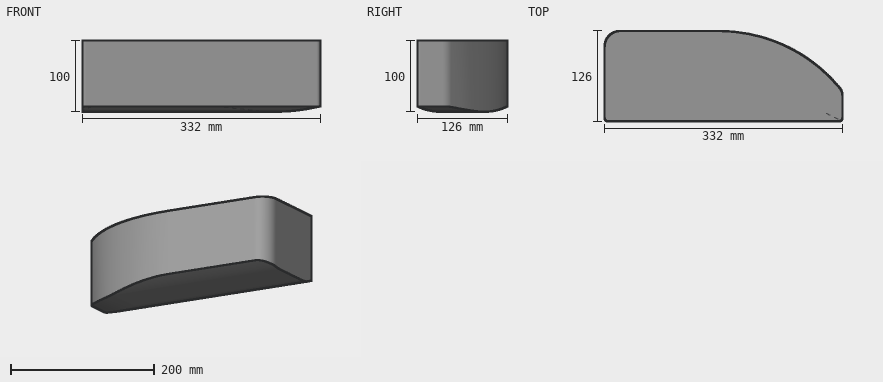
import cadquery as cq

length = 332.0
width = 126.0
height = 100.0

small_corner = 5.0
large_corner = 22.0
nose_corner = 16.5
sweep_start = 159.5
sweep_radius = 219.0

edge_rise = 8.0
side_run = 33.2
end_run = 65.7


def rounding_radius(run):
    """Radius of an arc tangent to the flat bottom that climbs edge_rise over run."""
    return (run**2 + edge_rise**2) / (2 * edge_rise)


def arc_height(run, distance):
    """Height of the rounding at a distance from its tangent line."""
    radius = rounding_radius(run)
    return radius - (radius**2 - distance**2) ** 0.5


def make_body():
    """Prism with straight front and ends and a curved rear side."""
    curve_x = length - sweep_start
    curve_drop = sweep_radius - (sweep_radius**2 - curve_x**2) ** 0.5
    middle_drop = sweep_radius - (sweep_radius**2 - (curve_x / 2) ** 2) ** 0.5
    body = (
        cq.Workplane("XY")
        .moveTo(0, 0)
        .lineTo(length, 0)
        .lineTo(length, width - curve_drop)
        .threePointArc((sweep_start + curve_x / 2, width - middle_drop), (sweep_start, width))
        .lineTo(0, width)
        .close()
        .extrude(height)
    )
    body = body.edges("|Z and <Y").fillet(small_corner)
    body = body.edges(cq.selectors.NearestToPointSelector((0, width, height / 2))).fillet(large_corner)
    nose_edge = cq.selectors.NearestToPointSelector((length, width - curve_drop, height / 2))
    return body.edges(nose_edge).fillet(nose_corner)


def make_side_envelope():
    """Section along X, rounded below at the front and rear."""
    half_height = arc_height(side_run, side_run / 2)
    return (
        cq.Workplane("YZ")
        .moveTo(0, height)
        .lineTo(0, edge_rise)
        .threePointArc((side_run / 2, half_height), (side_run, 0))
        .lineTo(width - side_run, 0)
        .threePointArc((width - side_run / 2, half_height), (width, edge_rise))
        .lineTo(width, height)
        .close()
        .extrude(length)
    )


def make_end_envelope():
    """Section along Y, rounded below towards the right end only."""
    return (
        cq.Workplane("XZ")
        .moveTo(0, 0)
        .lineTo(length - end_run, 0)
        .threePointArc((length - end_run / 2, arc_height(end_run, end_run / 2)), (length, edge_rise))
        .lineTo(length, height)
        .lineTo(0, height)
        .close()
        .extrude(-width)
    )


result = make_body().intersect(make_side_envelope()).intersect(make_end_envelope())